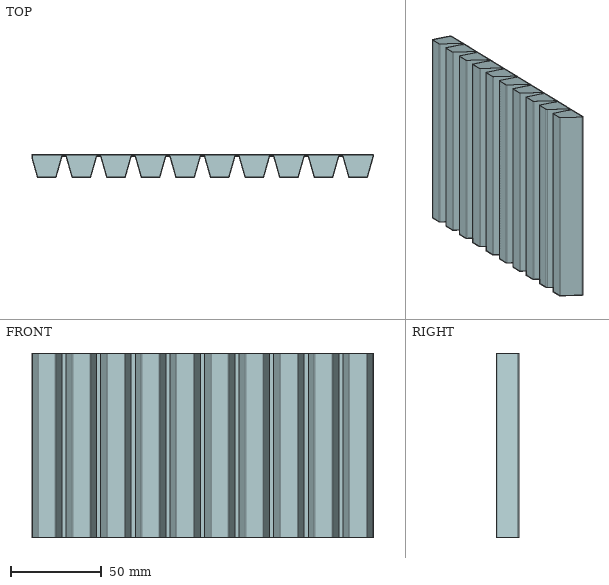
import cadquery as cq

length = 188.2
thickness = 12.6
height = 101.6

rib_count = 10
web_thickness = 1.0
groove_floor_width = 2.3
rib_tip_half_width = 5.0
tip_radius = 0.5
first_rib_x = 8.0
last_rib_to_end = 8.5
end_corner_radius = 0.65

last_rib_x = length - last_rib_to_end
rib_pitch = (last_rib_x - first_rib_x) / (rib_count - 1)
rib_root_half_width = (rib_pitch - groove_floor_width) / 2
back_y = thickness
root_y = back_y - web_thickness
flank_slope = (rib_root_half_width - rib_tip_half_width) / root_y


def make_rib(center_x):
    """Full-depth trapezoidal rib with rounded tip edges, its flanks carried on to the back."""
    back_half_width = rib_root_half_width + flank_slope * web_thickness
    rib = (
        cq.Workplane("XY")
        .polyline([
            (center_x - rib_tip_half_width, 0),
            (center_x + rib_tip_half_width, 0),
            (center_x + back_half_width, back_y),
            (center_x - back_half_width, back_y),
        ])
        .close()
        .extrude(height)
    )
    return rib.faces("<Y").edges("|Z").fillet(tip_radius)


result = cq.Workplane("XY").box(last_rib_x, web_thickness, height, centered=False).translate((0, root_y, 0))

for index in range(rib_count):
    rib = make_rib(first_rib_x + index * rib_pitch)
    if index == rib_count - 1:
        rib = rib.edges("|Z and >X").fillet(end_corner_radius)
    result = result.union(rib)

envelope = cq.Workplane("XY").box(length, thickness, height, centered=False)
result = result.intersect(envelope)